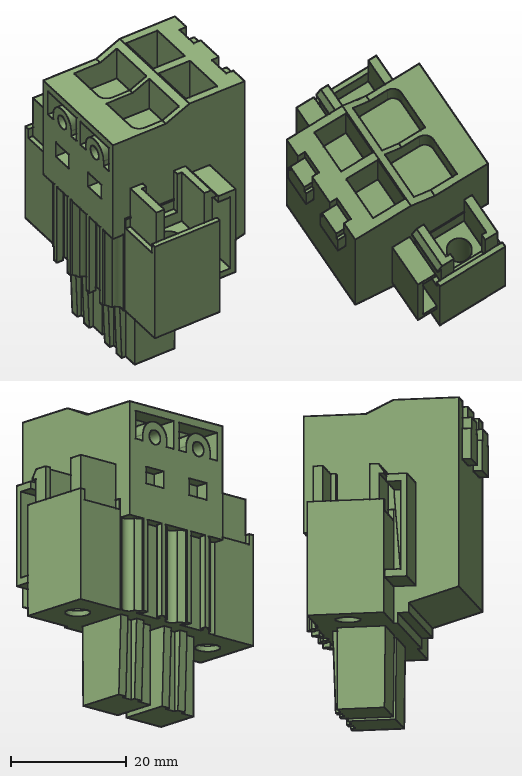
import cadquery as cq


pitch = 10.16
poles = [-pitch / 2, pitch / 2]

body_width = 21.86
body_offset = -0.09
body_left = body_offset - body_width / 2
body_depth = 27.3
body_top = 39.5
front_top = 37.2
slope_front = 10.95
slope_back = 15.85
back_edge = 6.1
heel = (18.5, 3.55)
heel_step = (16.6, 1.85)

recess_width = 8.9
recess_bottom = 30.7
recess_top = 35.75
recess_depth = 4.0
arch_radius = 2.8
test_hole_radius = 1.3
test_hole_z = 31.85
window_width = 4.14
window_bottom = 23.1
window_top = 26.15
window_depth = 2.45

wire_width = 9.28
wire_front = 5.53
wire_back = 14.4
wire_floor = 32.3
wire_corner = 1.8
release_width = 8.55
release_front = 16.06
release_back = 22.57
release_depth = 10.0

key_top = 16.65
groove_radius = 1.2
groove_axis_y = 1.1
flank_outer_y = 0.37
rib_outer = 2.58
rib_inner = 1.66
lip_depth = 1.3
slot_depth = 2.0
slot_half_width = 2.4

shroud_length = 14.4
shroud_width = 8.13
shroud_back_top = 14.05
shroud_back_tip = 13.9
shroud_front_top = 4.25
shroud_front_tip = 4.77
shroud_root = 1.0
shroud_step_y = 5.6
shroud_steps = [(-2.41, -0.37), (1.29, shroud_width / 2)]

box_outer = 20.29
box_front = 2.42
box_back = 15.9
box_height = 20.05
box_wall = 0.95
box_floor = 1.0
notch_z = 18.15
cavity_outer = box_outer - box_wall
cavity_width = 8.15
cavity_inner = cavity_outer - cavity_width

frame_back = 19.8
frame_front = 16.2
frame_bottom = 6.45
frame_top = 24.6
frame_wall = 1.1
frame_shelf = 1.3
web_foot_y = 17.4
web_top_z = 22.4

insert_spacing = 3 * pitch
insert_top = 26.5
insert_front = box_front + box_wall
insert_back = box_back - box_wall
insert_end = 1.12
plate_thick = 2.57
plate_thin = 1.65
pocket_floor = 15.8
screw_radius = 2.19
screw_y = 8.65
hook_tip_y = 15.75
hook_bottom = 24.75
hook_nose = 25.1
hook_top_y = 14.8

tab_back = 28.9
tab_front = 25.85
tab_bottom = 29.2
tab_top = 36.6
tab_shoulder = 34.6
tab_width = 4.5
tab_head_width = 5.6


def box(x0, x1, y0, y1, z0, z1):
    return cq.Workplane("XY").box(x1 - x0, y1 - y0, z1 - z0, centered=False).translate((x0, y0, z0))


def centred_box(x, width, y0, y1, z0, z1):
    return box(x - width / 2, x + width / 2, y0, y1, z0, z1)


def side_profile(points, x0, x1):
    """Extrude a (Y, Z) outline from x0 to x1."""
    return cq.Workplane("YZ").polyline(points).close().extrude(x1 - x0).translate((x0, 0, 0))


def terminal_block():
    outline = [
        (0, 0),
        (0, front_top),
        (slope_front, front_top),
        (slope_back, body_top),
        (body_depth, body_top),
        (body_depth, back_edge),
        heel,
        (heel[0], heel_step[1]),
        heel_step,
        (heel_step[0], 0),
    ]
    return side_profile(outline, body_left, body_left + body_width)


def arch_recess(x):
    recess = centred_box(x, recess_width, 0, recess_depth, recess_bottom, recess_top)
    arch = cq.Workplane("XZ").center(x, test_hole_z).circle(arch_radius).extrude(-recess_depth)
    legs = centred_box(x, 2 * arch_radius, 0, recess_depth, recess_bottom, test_hole_z)
    hole = cq.Workplane("XZ").center(x, test_hole_z).circle(test_hole_radius).extrude(-recess_depth)
    return recess.cut(arch).cut(legs).union(hole)


def front_window(x):
    return centred_box(x, window_width, 0, window_depth, window_bottom, window_top)


def wire_pocket(x):
    pocket = centred_box(x, wire_width, wire_front, wire_back, wire_floor, body_top)
    return pocket.edges("|Z and >X and <Y").fillet(wire_corner)


def release_pocket(x):
    return centred_box(x, release_width, release_front, release_back, body_top - release_depth, body_top)


def key_groove(x):
    """Round-bottomed groove with sloping flanks, centred between two poles."""
    half_width = pitch / 2 - rib_outer
    return (
        cq.Workplane("XY")
        .moveTo(x - half_width, 0)
        .lineTo(x - half_width, flank_outer_y)
        .lineTo(x - groove_radius, groove_axis_y)
        .threePointArc((x, groove_axis_y + groove_radius), (x + groove_radius, groove_axis_y))
        .lineTo(x + half_width, flank_outer_y)
        .lineTo(x + half_width, 0)
        .close()
        .extrude(key_top)
    )


def key_slot(x):
    """T-shaped slot: a narrow mouth between two ribs, undercut behind their lips."""
    mouth = centred_box(x, 2 * rib_inner, 0, lip_depth, 0, key_top)
    undercut = centred_box(x, 2 * slot_half_width, lip_depth, slot_depth, 0, key_top)
    return mouth.union(undercut)


def contact_shroud(x):
    outline = [
        (shroud_front_top, shroud_root),
        (shroud_back_top, shroud_root),
        (shroud_back_top, 0),
        (shroud_back_tip, -shroud_length),
        (shroud_front_tip, -shroud_length),
        (shroud_front_top, 0),
    ]
    shroud = side_profile(outline, x - shroud_width / 2, x + shroud_width / 2)
    for start, end in shroud_steps:
        shroud = shroud.cut(box(x + start, x + end, 0, shroud_step_y, -shroud_length, 0))
    return shroud


def left_frame():
    """C-shaped frame behind the left flange box, closed towards the body by a tapered web."""
    x0 = -cavity_outer
    x1 = -cavity_inner
    window_bottom_z = frame_bottom + frame_shelf
    window_top_z = frame_top - frame_shelf
    window_back = frame_back - frame_wall
    top_shelf = box(x0, x1, frame_front, frame_back, window_top_z, frame_top)
    bottom_shelf = box(x0, x1, box_back, frame_back, frame_bottom, window_bottom_z)
    back_wall = box(x0, x1, window_back, frame_back, frame_bottom, frame_top)
    web_outline = [
        (frame_back, window_bottom_z),
        (web_foot_y, window_bottom_z),
        (frame_front, web_top_z),
        (frame_front, frame_top),
        (frame_back, frame_top),
    ]
    web = side_profile(web_outline, x1 - box_wall, x1)
    return top_shelf.union(bottom_shelf).union(back_wall).union(web)


def left_flange_box():
    shell = box(-box_outer, body_left + box_wall, box_front, box_back, 0, box_height)
    cavity = box(-cavity_outer, -cavity_inner, insert_front, insert_back, box_floor, box_height)
    notches = box(-cavity_outer, -cavity_inner, box_front, box_back, notch_z, box_height)
    screw_hole = (
        cq.Workplane("XY").center(-insert_spacing / 2, screw_y).circle(screw_radius).extrude(box_height)
    )
    return shell.cut(cavity).cut(notches).cut(screw_hole)


def tab_shape(x, top):
    stem = centred_box(x, tab_width, tab_front, tab_back, tab_bottom, top)
    head = centred_box(x, tab_head_width, body_depth, tab_back, tab_bottom, tab_shoulder)
    return stem.union(head)


def build_housing():
    housing = terminal_block()
    for x in poles:
        housing = housing.cut(arch_recess(x))
        housing = housing.cut(front_window(x))
        housing = housing.cut(wire_pocket(x))
        housing = housing.cut(release_pocket(x))
        housing = housing.cut(key_slot(x))
        housing = housing.cut(tab_shape(x + body_offset, body_top))
        housing = housing.union(contact_shroud(x))
    for x in (-pitch, 0, pitch):
        housing = housing.cut(key_groove(x))
    left_end = left_flange_box().union(left_frame())
    return housing.union(left_end).union(left_end.mirror("YZ"))


def build_insert(x):
    """Screw flange insert centred on x: two upright plates, the rear one with a latch hook."""
    x0 = x - cavity_width / 2
    x1 = x + cavity_width / 2
    pocket_start = x0 + insert_end
    outline = [
        (insert_front, box_floor),
        (insert_front, insert_top),
        (hook_top_y, insert_top),
        (hook_tip_y, hook_nose),
        (hook_tip_y, hook_bottom),
        (insert_back, hook_bottom),
        (insert_back, box_floor),
    ]
    insert = side_profile(outline, x0, x1)
    end_gap = box(x0, pocket_start, insert_front + plate_thick, insert_back - plate_thick, notch_z, insert_top)
    pocket = box(
        pocket_start, x1, insert_front + plate_thin, insert_back - plate_thin, pocket_floor, insert_top
    )
    screw_hole = cq.Workplane("XY").center(x, screw_y).circle(screw_radius).extrude(insert_top)
    return insert.cut(end_gap).cut(pocket).cut(screw_hole)


housing = build_housing()
inserts = [build_insert(side * insert_spacing / 2) for side in (-1, 1)]
tabs = [tab_shape(x + body_offset, tab_top) for x in poles]

result = cq.Compound.makeCompound([
    housing.val(),
    *[insert.val() for insert in inserts],
    *[tab.val() for tab in tabs],
])